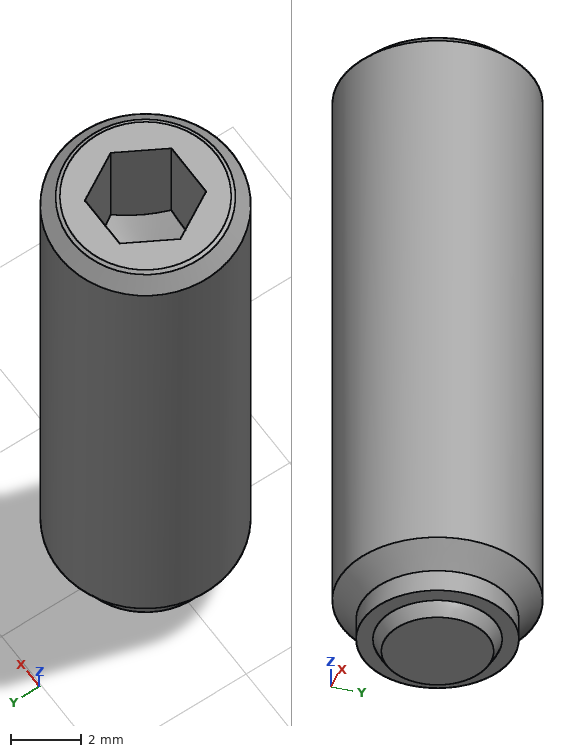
import cadquery as cq
import math

LENGTH = 20.0
BODY_RADIUS = 3.0

TOP_CHAMFER_HEIGHT = 0.5
TOP_BEVEL_HEIGHT = 0.05
TOP_FACE_RADIUS = 2.45
TOP_CHAMFER_WIDTH = TOP_CHAMFER_HEIGHT - TOP_BEVEL_HEIGHT

BALL_PROTRUSION = 0.42
COLLAR_RADIUS = 2.32
COLLAR_HEIGHT = 0.7
LOWER_CHAMFER = BODY_RADIUS - COLLAR_RADIUS

HEX_ACROSS_FLATS = 3.0
HEX_CORNER_RADIUS = HEX_ACROSS_FLATS / math.sqrt(3)
SOCKET_DEPTH = 3.5
SOCKET_CONE_ANGLE = 120.0
SOCKET_CONE_HEIGHT = HEX_CORNER_RADIUS / math.tan(math.radians(SOCKET_CONE_ANGLE / 2))

BALL_RADIUS = 2.0
BALL_FLAT_RADIUS = 1.6
BALL_CENTRE_Z = math.sqrt(BALL_RADIUS**2 - BALL_FLAT_RADIUS**2)


def make_socket():
    """Hexagonal prism whose lower end tapers to a point on the axis."""
    apex_z = LENGTH - SOCKET_DEPTH - SOCKET_CONE_HEIGHT
    prism = (
        cq.Workplane("XY", origin=(0, 0, apex_z))
        .polygon(6, 2 * HEX_CORNER_RADIUS)
        .extrude(LENGTH - apex_z)
    )
    pointed_rod = (
        cq.Workplane("XZ")
        .moveTo(0, apex_z)
        .lineTo(HEX_CORNER_RADIUS, LENGTH - SOCKET_DEPTH)
        .lineTo(HEX_CORNER_RADIUS, LENGTH)
        .lineTo(0, LENGTH)
        .close()
        .revolve(360, (0, 0), (0, 1))
    )
    return prism.intersect(pointed_rod)


def make_ball():
    """Sphere with its lower cap cut off at Z = 0."""
    upper_half_space = cq.Workplane("XY").box(
        2 * BODY_RADIUS, 2 * BODY_RADIUS, LENGTH, centered=(True, True, False)
    )
    sphere = cq.Workplane("XY", origin=(0, 0, BALL_CENTRE_Z)).sphere(BALL_RADIUS)
    return sphere.intersect(upper_half_space)


def make_screw(ball):
    """Turned body with the hexagon socket above and the ball seat below."""
    collar_top = BALL_PROTRUSION + COLLAR_HEIGHT
    body = (
        cq.Workplane("XZ")
        .moveTo(0, BALL_PROTRUSION)
        .lineTo(COLLAR_RADIUS, BALL_PROTRUSION)
        .lineTo(COLLAR_RADIUS, collar_top)
        .lineTo(BODY_RADIUS, collar_top + LOWER_CHAMFER)
        .lineTo(BODY_RADIUS, LENGTH - TOP_CHAMFER_HEIGHT)
        .lineTo(BODY_RADIUS - TOP_CHAMFER_WIDTH, LENGTH - TOP_BEVEL_HEIGHT)
        .lineTo(TOP_FACE_RADIUS, LENGTH)
        .lineTo(0, LENGTH)
        .close()
        .revolve(360, (0, 0), (0, 1))
    )
    return body.cut(make_socket()).cut(ball)


ball = make_ball()
screw = make_screw(ball)

result = cq.Compound.makeCompound([screw.val(), ball.val()])